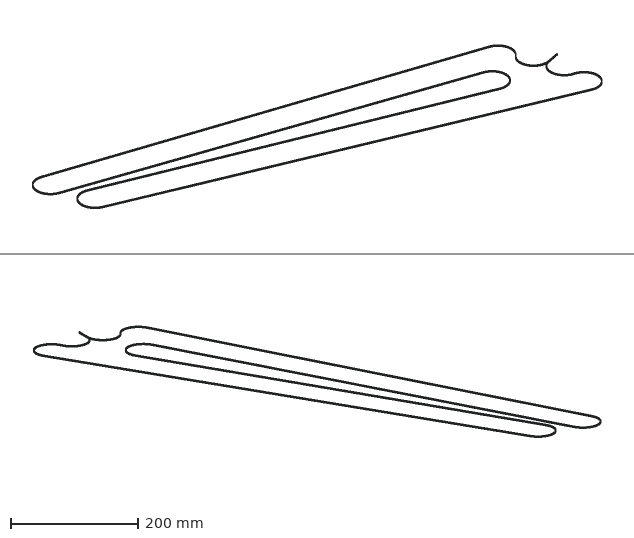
import cadquery as cq
import math

strip_height = 2.1
strip_width = 1.0
total_length = 782.0
total_width = 612.5
bend_radius = 28.0

stem_length = 25.0
shoulder_y = -49.0
inner_bend_center = (-46.0, -121.0)
right_foot_x = -394.0

valley_y = -stem_length
shoulder_drop = valley_y - shoulder_y
shoulder_x = bend_radius + math.sqrt((2 * bend_radius) ** 2 - shoulder_drop ** 2)

outer_radius = bend_radius + strip_width / 2
foot_y = outer_radius - total_length
left_foot_x = shoulder_x + 2 * outer_radius - total_width

CLOCKWISE = -1
COUNTERCLOCKWISE = 1

bends = [
    ((-bend_radius, valley_y), CLOCKWISE),
    ((-shoulder_x, shoulder_y), COUNTERCLOCKWISE),
    ((left_foot_x, foot_y), COUNTERCLOCKWISE),
    (inner_bend_center, CLOCKWISE),
    ((right_foot_x, foot_y), COUNTERCLOCKWISE),
    ((shoulder_x, shoulder_y), COUNTERCLOCKWISE),
    ((bend_radius, valley_y), CLOCKWISE),
]


def heading_between(bend, next_bend):
    """Direction angle of the tangent line leading from one bend to the next."""
    (x, y), sense = bend
    (next_x, next_y), next_sense = next_bend
    dx = next_x - x
    dy = next_y - y
    side_shift = bend_radius * (next_sense - sense)
    ratio = max(-1.0, min(1.0, side_shift / math.hypot(dx, dy)))
    return math.atan2(dy, dx) - math.asin(ratio)


def point_on_bend(bend, heading):
    """Point of the bend at which the strip runs in the given direction."""
    (x, y), sense = bend
    return (
        x + sense * bend_radius * math.sin(heading),
        y - sense * bend_radius * math.cos(heading),
    )


def sweep_strip(start, headings, strip_bends):
    """Strip from a start point through the given bends, with the headings before and after each."""
    position = start
    path = cq.Workplane("XY").moveTo(*start)
    for bend, entry, leave in zip(strip_bends, headings, headings[1:]):
        sense = bend[1]
        turn = (sense * (leave - entry)) % (2 * math.pi)
        bend_start = point_on_bend(bend, entry)
        bend_middle = point_on_bend(bend, entry + sense * turn / 2)
        bend_end = point_on_bend(bend, leave)
        if math.dist(position, bend_start) > strip_width:
            path = path.lineTo(*bend_start)
        path = path.threePointArc(bend_middle, bend_end)
        position = bend_end
    start_plane = cq.Plane(
        origin=(*start, 0),
        xDir=(-math.sin(headings[0]), math.cos(headings[0]), 0),
        normal=(math.cos(headings[0]), math.sin(headings[0]), 0),
    )
    return cq.Workplane(start_plane).rect(strip_width, strip_height).sweep(path)


def make_loop():
    """Loop that leaves the stem downward and returns to it upward, swept in two open halves."""
    down = -math.pi / 2
    up = math.pi / 2
    joins = [heading_between(a, b) for a, b in zip(bends, bends[1:])]
    headings = [down] + joins + [up]
    inner = 3
    stem_foot = (0, valley_y)
    inner_end = point_on_bend(bends[inner], headings[inner + 1])
    left_half = sweep_strip(stem_foot, headings[:inner + 2], bends[:inner + 1])
    right_half = sweep_strip(inner_end, headings[inner + 1:], bends[inner + 1:])
    return left_half.union(right_half)


def make_stem():
    stem = cq.Workplane("XY").box(strip_width, stem_length, strip_height)
    return stem.translate((0, -stem_length / 2, 0))


result = make_loop().union(make_stem())